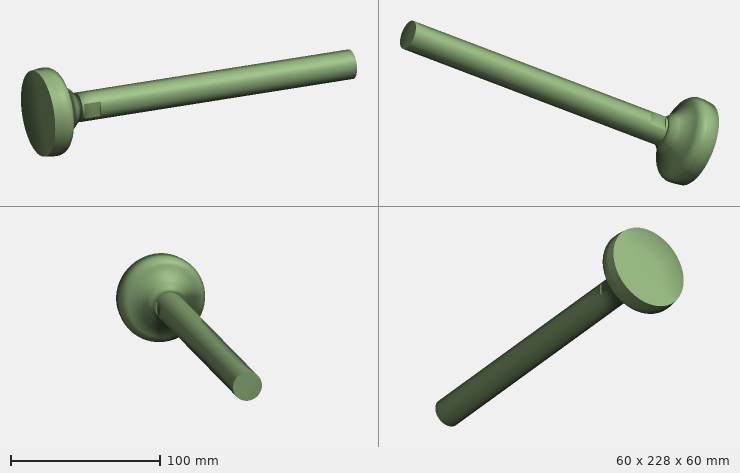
import cadquery as cq
import math

total_length = 228.0
foot_radius = 29.98
sole_radius = 29.2

rod_radius = 10.0
rod_start = 28.3
neck_radius = 8.0
flat_width = 17.0
flat_start = 29.9
flat_end = 41.5
dome_radius = 18.0
dome_center = 11.5
dome_top_radius = 9.3
dome_top = dome_center + math.sqrt(dome_radius**2 - dome_top_radius**2)
lip_radius = rod_radius
lip_top = 27.4

rim_start = 6.2
rim_end = 9.1
shoulder_radius = 25.3
shoulder_height = 15.3
shoulder_bulge_radius = 28.7
shoulder_bulge_height = 12.8
slope_radius = 20.3
slope_height = 17.3
collar_radius = 16.6
collar_height = 19.8
mouth_height = 21.5
mouth_radius = math.sqrt(dome_radius**2 - (mouth_height - dome_center)**2)


def revolve_about_y(profile):
    """Turn a closed (radius, y) half-profile around the Y axis."""
    return profile.close().revolve(360, (0, 0, 0), (0, 1, 0))


def sphere_point(angle):
    """Point of the dome's outline at an angle above its equator."""
    return (dome_radius * math.cos(angle), dome_center + dome_radius * math.sin(angle))


def polar_angle(height):
    """Angle above the dome's equator at a given height."""
    return math.asin((height - dome_center) / dome_radius)


def make_stud():
    """Rod with two wrench flats, joined by a neck to a lipped, flat-bottomed dome."""
    stud = revolve_about_y(
        cq.Workplane("XY")
        .moveTo(0, dome_center)
        .lineTo(dome_radius, dome_center)
        .threePointArc(sphere_point(polar_angle(dome_top) / 2), (dome_top_radius, dome_top))
        .lineTo(lip_radius, lip_top)
        .lineTo(neck_radius, lip_top)
        .lineTo(neck_radius, rod_start)
        .lineTo(rod_radius, rod_start)
        .lineTo(rod_radius, total_length)
        .lineTo(0, total_length)
    )
    flat_length = flat_end - flat_start
    cutter_depth = rod_radius
    for side in (-1, 1):
        cutter = cq.Workplane("XY").box(cutter_depth, flat_length, 2 * rod_radius).translate(
            (side * (flat_width + cutter_depth) / 2, (flat_start + flat_end) / 2, 0)
        )
        stud = stud.cut(cutter)
    return stud


def make_foot():
    """Round foot with a socket that fits the stud's dome."""
    return revolve_about_y(
        cq.Workplane("XY")
        .moveTo(0, 0)
        .lineTo(sole_radius, 0)
        .lineTo(foot_radius, rim_start)
        .lineTo(foot_radius, rim_end)
        .threePointArc(
            (shoulder_bulge_radius, shoulder_bulge_height),
            (shoulder_radius, shoulder_height),
        )
        .threePointArc((slope_radius, slope_height), (collar_radius, collar_height))
        .lineTo(mouth_radius, mouth_height)
        .threePointArc(sphere_point(polar_angle(mouth_height) / 2), (dome_radius, dome_center))
        .lineTo(0, dome_center)
    )


stud = make_stud()
foot = make_foot()
result = cq.Compound.makeCompound([stud.val(), foot.val()])